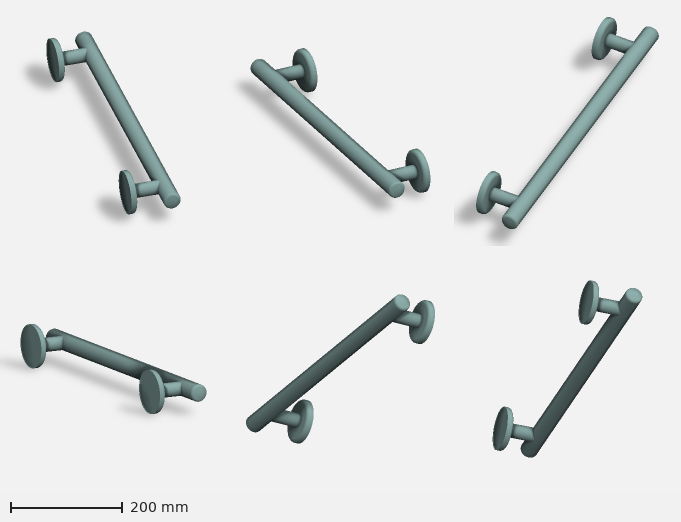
import cadquery as cq

bar_length = 560.0
bar_diameter = 32.0
dome_height = 3.0
shoulder_round = 4.5

post_spacing = 449.5
post_diameter = 26.0
neck_diameter = 25.0
neck_length = 2.0
flange_diameter = 79.5
flange_thickness = 12.5
flange_round = 6.0
recess_lip = 1.5
recess_depth = 0.5

total_depth = 89.0
bar_radius = bar_diameter / 2
bar_axis_y = total_depth - bar_radius


def make_bar():
    """Bar turned about the X axis, then moved out to its distance from the wall."""
    tip = bar_length / 2
    shoulder = tip - dome_height
    dome_radius = (bar_radius**2 + dome_height**2) / (2 * dome_height)
    profile = (
        cq.Workplane("XY")
        .moveTo(-tip, 0)
        .radiusArc((-shoulder, bar_radius), dome_radius)
        .lineTo(shoulder, bar_radius)
        .radiusArc((tip, 0), dome_radius)
        .close()
    )
    bar = profile.revolve(360, (0, 0, 0), (1, 0, 0))
    shoulders = cq.selectors.RadiusNthSelector(0)
    bar = bar.edges(shoulders).fillet(shoulder_round)
    return bar.translate((0, bar_axis_y, 0))


def make_support():
    """Wall flange, neck and post turned about the Y axis; the post ends on the bar axis."""
    post_radius = post_diameter / 2
    neck_radius = neck_diameter / 2
    neck_top = flange_thickness + neck_length
    flange_radius = flange_diameter / 2
    recess_radius = flange_radius - recess_lip
    profile = (
        cq.Workplane("XY")
        .moveTo(0, recess_depth)
        .lineTo(recess_radius, recess_depth)
        .lineTo(recess_radius, 0)
        .lineTo(flange_radius, 0)
        .lineTo(flange_radius, flange_thickness - flange_round)
        .radiusArc((flange_radius - flange_round, flange_thickness), -flange_round)
        .lineTo(neck_radius, flange_thickness)
        .lineTo(neck_radius, neck_top)
        .lineTo(post_radius, neck_top)
        .lineTo(post_radius, bar_axis_y)
        .lineTo(0, bar_axis_y)
        .close()
    )
    return profile.revolve(360, (0, 0, 0), (0, 1, 0))


result = make_bar()
for side in (-1, 1):
    result = result.union(make_support().translate((side * post_spacing / 2, 0, 0)))